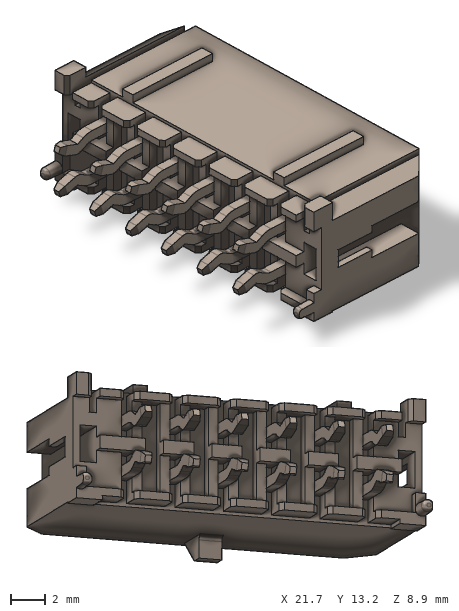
import cadquery as cq
import math


half_length = 10.85
body_depth = 10.03
body_bottom = 0.07
body_top = 6.88
core_half = 9.37
corner_start = 8.55
corner_chamfer = body_depth - corner_start
inner_face = 1.55
wall_face = 0.63

pin_count = 6
row_length = 15.0
pitch = row_length / (pin_count - 1)
pin_width = 0.65
pin_thickness = 0.67
pin_mid_height = 3.45
row_offset = 1.5

flange_chamfer = 0.25
lower_flange = (0.25, 0.74)
upper_flange = (6.2, 6.68)
recess_width = 1.13
recess_back = 1.25
bar_bottom = 3.08
bar_top = 3.88

post_inner = 9.83
post_top = 7.55
slot_floor = 5.34
wing_edge_height = 6.31
gusset_top = lower_flange[1]
gusset_bottom = 6.12
channel_outer = 10.4
channel_heights = (2.35, 4.54)
wide_pocket_front = 4.75
narrow_pocket_front = 2.0
narrow_pocket_heights = (2.86, 4.08)
foot_inner = 9.25
foot_block_inner = 10.22
foot_block_top = 1.93

rail_center = 6.34
rail_width = 0.9
rail_back = 8.03
rail_top = 7.42

latch_width = 1.4
latch_bottom = -1.35
latch_start = 9.53
latch_tip_back = 7.83
latch_tip_front = 7.0
latch_fillet = 0.33

peg_radius = 0.41
peg_taper = 2
peg_center_x = 10.61
peg_center_z = 0.95
peg_length = 1.22
peg_round = 0.25

bend_start = -0.55
bend_outer_radius = 1.52
bend_angle = math.radians(28)
kink = -1.71
rise_angle = math.radians(18)
pin_end = -3.15
tip_length = 0.45
tip_size = 0.41

flange_width = pitch - pin_width
first_pin_x = -row_length / 2
end_flange_inner = -first_pin_x + pin_width / 2


def box(x_range, y_range, z_range):
    """Axis-aligned box from three (low, high) pairs."""
    lows, highs = zip(x_range, y_range, z_range)
    sizes = [high - low for low, high in zip(lows, highs)]
    return cq.Workplane("XY").box(*sizes, centered=False).translate(lows)


def both_ends(shape):
    """The shape together with its mirror image at the opposite end."""
    return shape.union(shape.mirror("YZ"))


def make_body():
    body = box((-half_length, half_length), (inner_face, body_depth), (body_bottom, body_top))
    return body.edges("|Z and >Y").chamfer(corner_chamfer)


def make_end():
    """Additions in front of the body at the +X end: wall, post, flanges and foot."""
    wall = box((end_flange_inner, half_length), (wall_face, inner_face), (lower_flange[0], upper_flange[0]))
    post = box((post_inner, half_length), (0, inner_face), (upper_flange[0], post_top))
    post = post.edges("|Z and <X and <Y").chamfer(flange_chamfer)
    end = wall.union(post)
    for heights, outer in ((lower_flange, half_length), (upper_flange, core_half)):
        flange = box((end_flange_inner, outer), (0, inner_face), heights)
        end = end.union(flange.edges("|Z and <X and <Y").chamfer(flange_chamfer))
    foot = box((foot_inner, half_length), (0, inner_face), (0, lower_flange[1]))
    foot_block = box((foot_block_inner, half_length), (0, inner_face), (0, foot_block_top))
    return end.union(foot).union(foot_block)


def make_end_cuts():
    """Groove, sloped wing top, corner relief and side pocket at the +X end."""
    groove = box((core_half, post_inner), (0, body_depth), (slot_floor, post_top))
    relief = box((core_half, half_length), (corner_start, body_depth), (gusset_top, gusset_bottom))
    channel = box((core_half, channel_outer), (0, corner_start), channel_heights)
    wide_pocket = box((core_half, half_length), (wide_pocket_front, corner_start), channel_heights)
    narrow_pocket = box((core_half, half_length), (narrow_pocket_front, corner_start), narrow_pocket_heights)
    slope = (
        cq.Workplane("XZ", origin=(0, inner_face, 0))
        .polyline([(post_inner, body_top), (half_length, wing_edge_height), (half_length, body_top)])
        .close()
        .extrude(inner_face - body_depth)
    )
    return groove.union(relief).union(channel).union(wide_pocket).union(narrow_pocket).union(slope)


def make_divider(x):
    """Flanged column between two neighbouring pins, recessed along its middle."""
    sides = (x - flange_width / 2, x + flange_width / 2)
    divider = box(sides, (wall_face, inner_face), (lower_flange[0], upper_flange[1]))
    for heights in (lower_flange, upper_flange):
        flange = box(sides, (0, inner_face), heights)
        divider = divider.union(flange.edges("|Z and <Y").chamfer(flange_chamfer))
    return divider


def make_recess(x):
    return box(
        (x - recess_width / 2, x + recess_width / 2),
        (0, recess_back),
        (lower_flange[1], upper_flange[0]),
    )


def make_rail(x):
    return box((x - rail_width / 2, x + rail_width / 2), (inner_face, rail_back), (body_bottom, rail_top))


def make_latch():
    profile = (
        cq.Workplane("YZ")
        .moveTo(latch_start, body_bottom)
        .lineTo(latch_tip_back, latch_bottom)
        .lineTo(latch_tip_front, latch_bottom)
        .lineTo(latch_tip_front, body_bottom - latch_fillet)
        .radiusArc((latch_tip_front - latch_fillet, body_bottom), -latch_fillet)
        .close()
    )
    return profile.extrude(latch_width / 2, both=True)


def make_peg():
    """Round-ended peg at the +X end, flattened flush with the outer side."""
    peg = (
        cq.Workplane("XZ", origin=(peg_center_x, 0, peg_center_z))
        .circle(peg_radius)
        .extrude(peg_length, taper=peg_taper)
        .faces("<Y")
        .edges()
        .fillet(peg_round)
    )
    keep = box((core_half, half_length), (-peg_length, 0), (0, foot_block_top))
    return peg.intersect(keep)


def make_upper_pin():
    """Upper-row pin centred on X = 0: straight, bent down, then kinked up to a tapered tip."""
    half = pin_thickness / 2
    axis_z = pin_mid_height + row_offset
    center_z = axis_z + half - bend_outer_radius

    def on_bend(radius, angle):
        return (bend_start - radius * math.sin(angle), center_z + radius * math.cos(angle))

    inner_radius = bend_outer_radius - pin_thickness
    outer_end = on_bend(bend_outer_radius, bend_angle)
    kink_z = outer_end[1] - (outer_end[0] - kink) * math.tan(bend_angle)

    def around_kink(angle):
        return (kink - pin_thickness * math.sin(angle), kink_z - pin_thickness * math.cos(angle))

    along = (-math.cos(rise_angle), math.sin(rise_angle))
    overhang = (half + tip_size / 2) * math.sin(rise_angle)
    run = (kink - pin_end - overhang) / math.cos(rise_angle) - tip_length
    top_end = (kink + run * along[0], kink_z + run * along[1])
    low_end = (
        top_end[0] - pin_thickness * math.sin(rise_angle),
        top_end[1] - pin_thickness * math.cos(rise_angle),
    )

    shank = (
        cq.Workplane("YZ")
        .moveTo(inner_face, axis_z + half)
        .lineTo(bend_start, axis_z + half)
        .threePointArc(on_bend(bend_outer_radius, bend_angle / 2), outer_end)
        .lineTo(kink, kink_z)
        .lineTo(*top_end)
        .lineTo(*low_end)
        .lineTo(*around_kink(rise_angle))
        .threePointArc(around_kink((rise_angle - bend_angle) / 2), around_kink(-bend_angle))
        .lineTo(*on_bend(inner_radius, bend_angle))
        .threePointArc(on_bend(inner_radius, bend_angle / 2), on_bend(inner_radius, 0))
        .lineTo(inner_face, axis_z - half)
        .close()
        .extrude(pin_width / 2, both=True)
    )
    tip_origin = (0, (top_end[0] + low_end[0]) / 2, (top_end[1] + low_end[1]) / 2)
    tip_plane = cq.Plane(origin=tip_origin, xDir=(1, 0, 0), normal=(0, *along))
    tip = (
        cq.Workplane(tip_plane)
        .rect(pin_width, pin_thickness)
        .workplane(offset=tip_length)
        .rect(tip_size, tip_size)
        .loft()
    )
    return shank.union(tip)


housing = make_body().union(both_ends(make_end()))
housing = housing.union(box((-core_half, core_half), (0, inner_face), (bar_bottom, bar_top)))
for i in range(pin_count - 1):
    divider_x = first_pin_x + pitch * (i + 0.5)
    housing = housing.union(make_divider(divider_x)).cut(make_recess(divider_x))
housing = housing.cut(both_ends(make_end_cuts()))
housing = housing.union(both_ends(make_rail(rail_center)))
housing = housing.union(make_latch()).union(both_ends(make_peg()))

upper_pin = make_upper_pin()
lower_pin = upper_pin.mirror("XY", (0, 0, pin_mid_height))
for i in range(pin_count):
    pin_place = (first_pin_x + pitch * i, 0, 0)
    housing = housing.union(upper_pin.translate(pin_place)).union(lower_pin.translate(pin_place))

result = housing.solids()